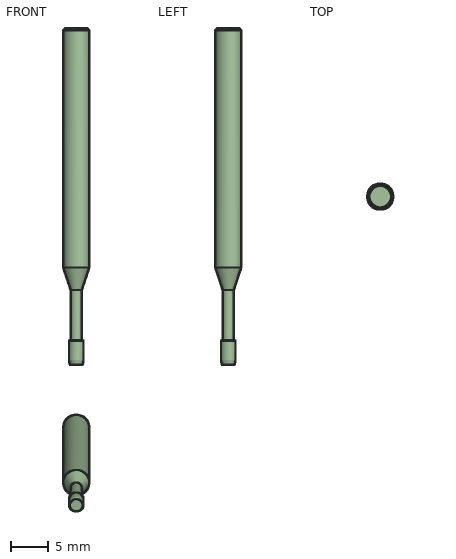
import cadquery as cq

overall_length = 45.0

head_diameter = 2.0
head_tip_diameter = 1.7
head_length = 3.35
tip_taper_length = 0.6
head_top_diameter = 1.6
head_shoulder_height = 0.15

neck_diameter = 1.5
neck_end_height = 10.0
flare_length = 3.0
shank_diameter = 3.5
shank_chamfer_width = 0.3
shank_chamfer_height = 0.28

head_radius = head_diameter / 2
head_tip_radius = head_tip_diameter / 2
head_top_radius = head_top_diameter / 2
neck_radius = neck_diameter / 2
shank_radius = shank_diameter / 2
flare_end_height = neck_end_height + flare_length


def revolve_profile(points):
    """Turn a closed (radius, height) outline around the Z axis."""
    return cq.Workplane("XZ").polyline(points).close().revolve(360, (0, 0, 0), (0, 1, 0))


def make_cutting_head():
    """Cylinder with a tapered tip and a bevelled shoulder, a little wider than the neck at its top."""
    return revolve_profile([
        (0, 0),
        (head_tip_radius, 0),
        (head_radius, tip_taper_length),
        (head_radius, head_length - head_shoulder_height),
        (head_top_radius, head_length),
        (0, head_length),
    ])


def make_shank():
    """Slim neck, conical flare and full-width shank with a chamfered top end."""
    return revolve_profile([
        (0, head_length),
        (neck_radius, head_length),
        (neck_radius, neck_end_height),
        (shank_radius, flare_end_height),
        (shank_radius, overall_length - shank_chamfer_height),
        (shank_radius - shank_chamfer_width, overall_length),
        (0, overall_length),
    ])


cutting_head = make_cutting_head()
shank = make_shank()

result = cq.Compound.makeCompound([cutting_head.val(), shank.val()])